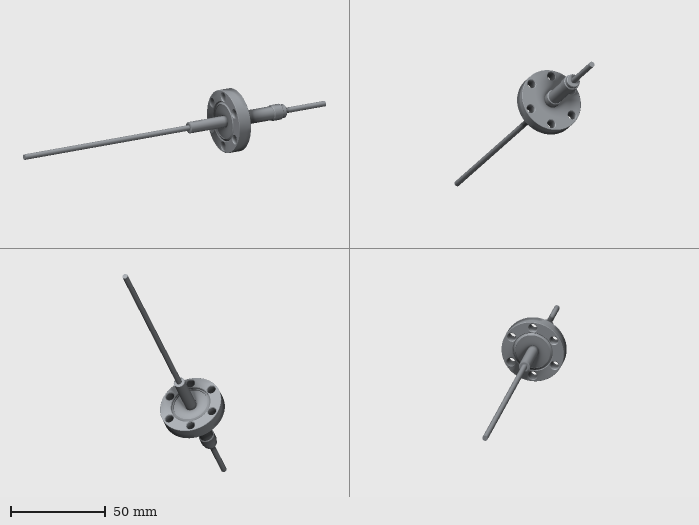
import cadquery as cq
import math

total_length = 184.2
rear_end = 62.2
front_end = rear_end - total_length

rod_diameter = 3.0

flange_diameter = 33.7
flange_thickness = 7.2
flange_chamfer = 0.2
bolt_circle_diameter = 27.0
upper_bolt_elevation = 33
lower_bolt_elevation = 30
bolt_angles = [
    90,
    upper_bolt_elevation,
    180 - upper_bolt_elevation,
    180 + lower_bolt_elevation,
    270,
    -lower_bolt_elevation,
]
bolt_hole_diameter = 4.5
bolt_chamfer = 0.4

recess_diameter = 22.0
recess_depth = 1.0
recess_rim_chamfer = 0.4
knife_diameter = 18.8
knife_tip_depth = 0.1
floor_depth = 0.7

counterbore_diameter = 7.2
counterbore_depth = 0.4

sleeve_diameter = 6.0
sleeve_length = 21.2
sleeve_chamfer_length = 0.2
sleeve_chamfer_width = 0.5

tube_diameter = 7.4
tube_end = 37.2
collar_diameter = 8.5
flange_collar_end = 12.0
cap_collar_start = 29.3
cap_collar_end = 34.8
collar_chamfer = 0.4
tube_chamfer = 0.4


def cylinder(diameter, start, end):
    """Round bar on the Y axis from Y = start to Y = end."""
    return cq.Workplane("XZ", origin=(0, start, 0)).circle(diameter / 2).extrude(start - end)


def make_recess():
    """Body of revolution removed from the front face of the flange."""
    outer_radius = recess_diameter / 2
    wall_radius = outer_radius - recess_rim_chamfer
    knife_radius = knife_diameter / 2
    profile = [
        (0, 0),
        (outer_radius, 0),
        (wall_radius, recess_rim_chamfer),
        (wall_radius, recess_depth),
        (knife_radius, knife_tip_depth),
        (knife_radius, floor_depth),
        (0, floor_depth),
    ]
    recess = cq.Workplane("XY").polyline(profile).close().revolve(360, (0, 0, 0), (0, 1, 0))
    return recess.union(cylinder(counterbore_diameter, 0, floor_depth + counterbore_depth))


def bolt_centre(angle):
    """Point (X, Z) on the bolt circle, at an angle in degrees from the X axis."""
    radius = bolt_circle_diameter / 2
    return (radius * math.cos(math.radians(angle)), radius * math.sin(math.radians(angle)))


def make_flange():
    disc = cylinder(flange_diameter, 0, flange_thickness).faces("<Y or >Y").chamfer(flange_chamfer)
    holes = (
        cq.Workplane("XZ")
        .pushPoints([bolt_centre(angle) for angle in bolt_angles])
        .circle(bolt_hole_diameter / 2)
        .extrude(-flange_thickness)
    )
    drilled = disc.cut(holes)
    hole_rims = drilled.faces("<Y or >Y").edges(cq.selectors.RadiusNthSelector(0))
    return hole_rims.chamfer(bolt_chamfer).cut(make_recess())


def make_front_sleeve():
    sleeve = cylinder(sleeve_diameter, -sleeve_length, flange_thickness)
    tip_edge = sleeve.faces("<Y").edges()
    return tip_edge.chamfer(sleeve_chamfer_length, sleeve_chamfer_width)


def make_rear_tube():
    tube = cylinder(tube_diameter, flange_thickness, tube_end)
    tube = tube.faces(">Y").chamfer(tube_chamfer)
    flange_collar = cylinder(collar_diameter, flange_thickness, flange_collar_end)
    cap_collar = cylinder(collar_diameter, cap_collar_start, cap_collar_end)
    flange_collar = flange_collar.faces(">Y").chamfer(collar_chamfer)
    cap_collar = cap_collar.faces("<Y or >Y").chamfer(collar_chamfer)
    return tube.union(flange_collar).union(cap_collar)


rod = cylinder(rod_diameter, front_end, rear_end)
result = make_flange().union(make_front_sleeve()).union(make_rear_tube()).union(rod)